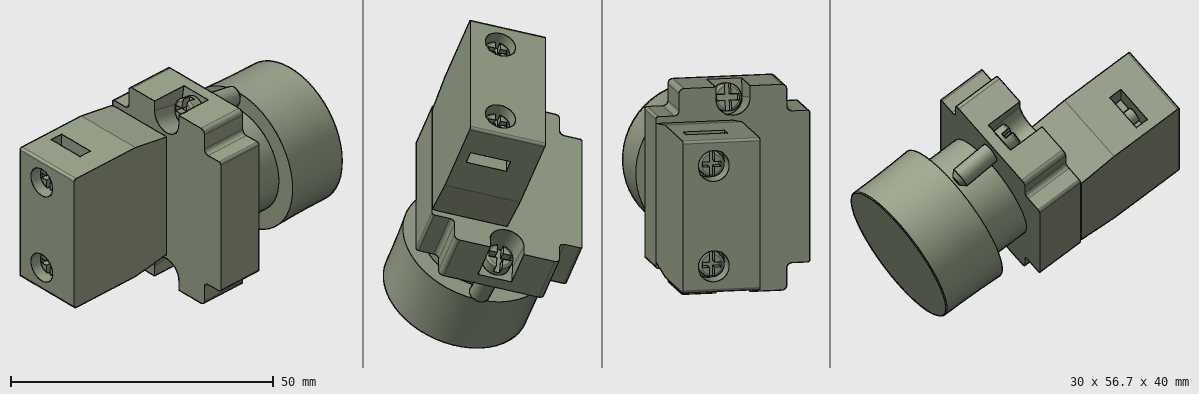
import cadquery as cq


plate_width = 30.0
plate_body_height = 29.5
plate_height = 40.0
plate_thickness = 10.0
tab_width = 21.0
tab_fillet = 1.0
body_corner_fillet = 0.5

block_width = plate_width / 2
block_height = plate_body_height
block_length = 24.2
block_root_height = 26.9
taper_length = 8.2
block_edge_fillet = 0.5
block_relief_width = 1.0
block_relief_depth = 0.2

neck_radius = 11.0
neck_length = 9.0
cap_length = 13.5
cap_front_radius = 14.8
cap_back_radius = 14.5
cap_middle_radius = 14.55
cap_edge_chamfer = 0.2

tilt_angle = 10.0
tilt_start_z = 17.8
pocket_radius = 3.35
pocket_depth = 7.2
pocket_overrun = 10.0
clamp_tip_depth = 18.6
clamp_shaft_radius = 2.0
clamp_tip_chamfer = 1.0
clamp_head_radius = 2.7
clamp_slot_width = 1.2
clamp_bar_length = 4.4

terminal_x = -9.0
terminal_z = 9.75
terminal_hole_radius = 3.0
terminal_hole_depth = 4.4
terminal_head_radius = 2.5
terminal_slot_width = 1.0
terminal_bar_length = 3.6
terminal_shaft_radius = 1.55

head_height = 2.7
head_fillet = 0.5
head_slot_depth = 1.8

wire_width = 8.0
wire_length = 2.7
wire_depth = block_height / 2 - terminal_z
wire_center_y = -16.6

cap_start_y = plate_thickness + neck_length


def box_along_y(width, height, y_start, y_end):
    """Box centred on the Y axis between two Y positions."""
    length = y_end - y_start
    return cq.Workplane("XY").box(width, length, height).translate((0, (y_start + y_end) / 2, 0))


def rod_along_y(radius, y_start, y_end):
    """Cylinder on the Y axis between two Y positions."""
    return cq.Workplane("XZ", origin=(0, y_start, 0)).circle(radius).extrude(y_start - y_end)


def make_plate():
    body = box_along_y(plate_width, plate_body_height, 0, plate_thickness)
    body = body.edges("|Y").fillet(body_corner_fillet)
    tabs = box_along_y(tab_width, plate_height, 0, plate_thickness)
    tabs = tabs.edges("|Y").fillet(tab_fillet)
    plate = body.union(tabs)
    for x in (-tab_width / 2, tab_width / 2):
        for z in (-plate_body_height / 2, plate_body_height / 2):
            corner = cq.selectors.NearestToPointSelector((x, plate_thickness / 2, z))
            plate = plate.edges("|Y").edges(corner).fillet(tab_fillet)
    return plate


def make_block():
    half = block_height / 2
    root_half = block_root_height / 2
    profile = [
        (0, -root_half),
        (-taper_length, -half),
        (-block_length, -half),
        (-block_length, half),
        (-taper_length, half),
        (0, root_half),
    ]
    block = cq.Workplane("YZ").polyline(profile).close().extrude(-block_width)
    block = block.faces("<Y").edges("|X").fillet(block_edge_fillet)
    relief = (
        cq.Workplane("XY", origin=(0, 0, -half))
        .polyline([
            (-block_width, 0),
            (-block_width + block_relief_width, 0),
            (-block_width, -block_relief_depth),
        ])
        .close()
        .extrude(block_height)
    )
    return block.cut(relief)


def make_neck_and_cap():
    cap_end_y = cap_start_y + cap_length
    chamfer_start_y = cap_end_y - cap_edge_chamfer
    cap = (
        cq.Workplane("XY")
        .moveTo(0, cap_start_y)
        .lineTo(cap_front_radius, cap_start_y)
        .threePointArc(
            (cap_middle_radius, (cap_start_y + chamfer_start_y) / 2),
            (cap_back_radius, chamfer_start_y),
        )
        .lineTo(cap_back_radius - cap_edge_chamfer, cap_end_y)
        .lineTo(0, cap_end_y)
        .close()
        .revolve(360, (0, 0, 0), (0, 1, 0))
    )
    return cap.union(rod_along_y(neck_radius, plate_thickness, cap_start_y))


def make_screw_head(radius, seat_y, slot_width, bar_length):
    """Cross-slotted head on the Y axis whose underside sits at seat_y."""
    face_y = seat_y - head_height
    slot_end_y = face_y + head_slot_depth
    head = rod_along_y(radius, face_y, seat_y).faces("<Y").edges().fillet(head_fillet)
    through_slot = box_along_y(slot_width, 2 * radius, face_y, slot_end_y)
    cross_bar = box_along_y(bar_length, slot_width, face_y, slot_end_y)
    return head.cut(through_slot).cut(cross_bar)


def tilt(shape):
    """Carry a shape from the Y axis to the tilted axis of the upper clamping screw."""
    return shape.rotate((0, 0, 0), (1, 0, 0), -tilt_angle).translate((0, 0, tilt_start_z))


def make_clamp_pocket():
    """Round-bottomed pocket that overruns the plate front and the tab end."""
    round_part = rod_along_y(pocket_radius, -pocket_overrun, pocket_depth)
    open_part = box_along_y(2 * pocket_radius, pocket_overrun, -pocket_overrun, pocket_depth)
    return tilt(round_part.union(open_part.translate((0, 0, pocket_overrun / 2))))


def make_clamp_screw():
    shaft = rod_along_y(clamp_shaft_radius, pocket_depth, clamp_tip_depth)
    shaft = shaft.faces(">Y").edges().chamfer(clamp_tip_chamfer)
    head = make_screw_head(clamp_head_radius, pocket_depth, clamp_slot_width, clamp_bar_length)
    return tilt(shaft.union(head))


def add_clamp_screws(body):
    pocket = make_clamp_pocket()
    screw = make_clamp_screw()
    body = body.cut(pocket).cut(pocket.mirror("XY"))
    return body.union(screw).union(screw.mirror("XY"))


def add_terminals(block):
    seat_y = terminal_hole_depth - block_length
    hole = rod_along_y(terminal_hole_radius, -block_length, seat_y)
    head = make_screw_head(terminal_head_radius, seat_y, terminal_slot_width, terminal_bar_length)
    shaft = rod_along_y(terminal_shaft_radius, seat_y, 0)
    screw = head.union(shaft)
    for side in (-1, 1):
        wire_opening = cq.Workplane("XY").box(wire_width, wire_length, wire_depth)
        wire_z = side * (block_height - wire_depth) / 2
        place = (terminal_x, 0, side * terminal_z)
        block = block.cut(wire_opening.translate((terminal_x, wire_center_y, wire_z)))
        block = block.cut(hole.translate(place))
        block = block.union(screw.translate(place))
    return block


plate = add_clamp_screws(make_plate())
block = add_terminals(make_block())
result = plate.union(make_neck_and_cap()).union(block)